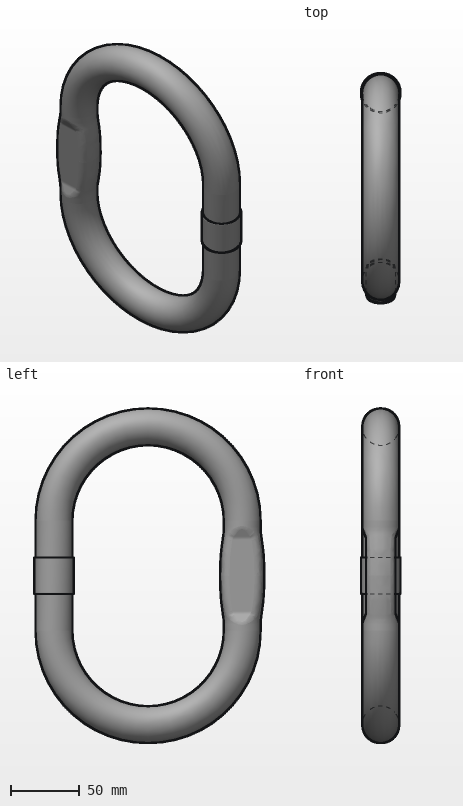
import cadquery as cq
import math

link_height = 243.8
bar_diameter = 27.0
straight_length = 79.7
bar_radius = bar_diameter / 2
half_straight = straight_length / 2
bend_radius = (link_height - straight_length - bar_diameter) / 2

sleeve_diameter = 29.0
sleeve_length = 26.8
sleeve_edge_radius = 0.95

bulge_rise = 2.7
bulge_length = 69.7
shoulder_rise = 1.0
shoulder_spacing = 52.2

flat_spacing = 21.2
flat_length = 54.4
ramp_angle = 21.0
recess_blend_radius = 6.0


def make_bar():
    """Round bar swept along the closed oblong centreline."""
    centreline = (
        cq.Workplane("YZ")
        .moveTo(-bend_radius, -half_straight)
        .lineTo(-bend_radius, half_straight)
        .threePointArc((0, half_straight + bend_radius), (bend_radius, half_straight))
        .lineTo(bend_radius, -half_straight)
        .threePointArc((0, -half_straight - bend_radius), (-bend_radius, -half_straight))
        .close()
    )
    return (
        cq.Workplane("XY", origin=(0, -bend_radius, -half_straight))
        .circle(bar_radius)
        .sweep(centreline)
    )


def make_sleeve():
    """Collar with rounded rims, centred on the +Y leg."""
    return (
        cq.Workplane("XY", origin=(0, bend_radius, 0))
        .circle(sleeve_diameter / 2)
        .extrude(sleeve_length / 2, both=True)
        .faces("|Z")
        .edges()
        .fillet(sleeve_edge_radius)
    )


def make_bulged_leg():
    """Straight -Y leg with the barrel-shaped swelling, as a body of revolution."""
    half_bulge = bulge_length / 2
    along_leg = (0, 1)
    ends = (bar_radius, half_bulge)
    shoulder = (bar_radius + shoulder_rise, shoulder_spacing / 2)
    middle = (bar_radius + bulge_rise, 0)
    lower_flare = [(ends[0], -ends[1]), (shoulder[0], -shoulder[1]), middle]
    upper_flare = [middle, shoulder, ends]
    return (
        cq.Workplane("YZ", origin=(0, -bend_radius, 0))
        .moveTo(0, -half_straight)
        .lineTo(bar_radius, -half_straight)
        .lineTo(bar_radius, -half_bulge)
        .spline(lower_flare, tangents=[along_leg, along_leg])
        .spline(upper_flare, tangents=[along_leg, along_leg])
        .lineTo(bar_radius, half_straight)
        .lineTo(0, half_straight)
        .close()
        .revolve(360, (0, 0, 0), (0, 1, 0))
    )


def make_recess_cutter(side):
    """Trapezoidal prism that leaves a flat with two end ramps; side is -1 or +1 along X."""
    floor_x = flat_spacing / 2
    cutter_depth = bar_radius
    half_floor = flat_length / 2
    half_mouth = half_floor + cutter_depth / math.tan(math.radians(ramp_angle))
    return (
        cq.Workplane("XZ", origin=(0, -bend_radius, 0))
        .polyline([
            (side * floor_x, -half_floor),
            (side * floor_x, half_floor),
            (side * (floor_x + cutter_depth), half_mouth),
            (side * (floor_x + cutter_depth), -half_mouth),
        ])
        .close()
        .extrude(bar_diameter, both=True)
    )


def make_recessed_leg():
    """Bulged leg with a recess on each X face and all recess edges blended."""
    leg = make_bulged_leg()
    for side in (-1, 1):
        leg = leg.cut(make_recess_cutter(side))
    recess_edges = leg.edges(
        cq.selectors.BoxSelector(
            (-bar_diameter, -link_height, -half_straight),
            (-bar_radius / 2, link_height, half_straight),
        )
        + cq.selectors.BoxSelector(
            (bar_radius / 2, -link_height, -half_straight),
            (bar_diameter, link_height, half_straight),
        )
    )
    return recess_edges.fillet(recess_blend_radius)


def make_leg_gap():
    """Block that clears the plain -Y leg so the bulged leg can take its place."""
    return cq.Workplane("XY", origin=(0, -bend_radius, 0)).box(
        2 * bar_diameter, 2 * bar_diameter, straight_length
    )


result = make_bar().cut(make_leg_gap()).union(make_recessed_leg()).union(make_sleeve())